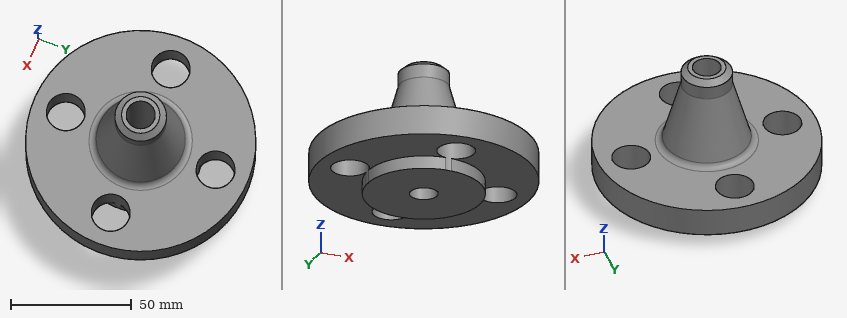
import cadquery as cq
import math

flange_diameter = 95.2
flange_thickness = 12.8
face_diameter = 50.9
face_height = 5.6

overall_height = 56.4
hub_base_diameter = 38.1
hub_fillet_radius = 3.0
neck_diameter = 21.3
neck_length = 6.0
bevel_height = 2.3
tip_diameter = 15.8
bore_diameter = 11.9

bolt_hole_count = 4
bolt_hole_diameter = 16.0
bolt_circle_diameter = 66.7

flange_top = face_height + flange_thickness
bevel_start = overall_height - bevel_height
taper_top = bevel_start - neck_length


def make_flange():
    """Raised face with the round flange disc on top of it."""
    face = cq.Workplane("XY").circle(face_diameter / 2).extrude(face_height)
    disc = (
        cq.Workplane("XY")
        .workplane(offset=face_height)
        .circle(flange_diameter / 2)
        .extrude(flange_thickness)
    )
    return face.union(disc)


def make_hub():
    """Tapered hub, straight neck and bevelled tip, blended into the flange top by an arc."""
    hub_base_radius = hub_base_diameter / 2
    neck_radius = neck_diameter / 2
    taper_angle = math.atan2(hub_base_radius - neck_radius, taper_top - flange_top)
    tangent_length = hub_fillet_radius * math.tan((math.pi / 2 - taper_angle) / 2)
    center_radius = hub_base_radius + tangent_length
    center_height = flange_top + hub_fillet_radius
    mid_angle = (math.pi / 2 + taper_angle) / 2

    def blend_point(angle):
        """Point on the blend arc, with the angle measured below the horizontal."""
        return (
            center_radius - hub_fillet_radius * math.cos(angle),
            center_height - hub_fillet_radius * math.sin(angle),
        )

    return (
        cq.Workplane("XZ")
        .moveTo(0, face_height)
        .lineTo(center_radius, face_height)
        .lineTo(center_radius, flange_top)
        .threePointArc(blend_point(mid_angle), blend_point(taper_angle))
        .lineTo(neck_radius, taper_top)
        .lineTo(neck_radius, bevel_start)
        .lineTo(tip_diameter / 2, overall_height)
        .lineTo(0, overall_height)
        .close()
        .revolve(360, (0, 0, 0), (0, 1, 0))
    )


def make_bore():
    return cq.Workplane("XY").circle(bore_diameter / 2).extrude(overall_height)


def make_bolt_holes():
    """Through holes on the bolt circle, the first one on +X; they just graze the raised face."""
    return (
        cq.Workplane("XY")
        .polarArray(bolt_circle_diameter / 2, 0, 360, bolt_hole_count)
        .circle(bolt_hole_diameter / 2)
        .extrude(overall_height)
    )


result = make_flange().union(make_hub()).cut(make_bore()).cut(make_bolt_holes())